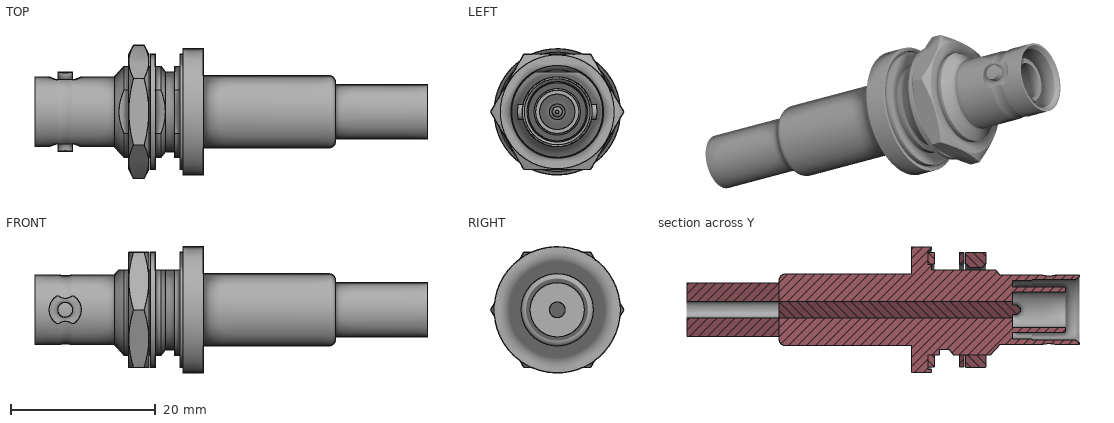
import cadquery as cq
import math


OVERALL_LENGTH = 54.3
LUG_X = 4.2
CONE_START_X = 10.95
THREAD_START_X = 12.3
RELIEF_CONE_X = 17.45
RELIEF_START_X = 18.05
RELIEF_END_X = 19.35
FLANGE_FRONT_X = 20.45
FLANGE_REAR_X = 23.3
TAIL_END_X = 41.6

NOSE_RADIUS = 4.85
THREAD_RADIUS = 6.3
RELIEF_RADIUS = 5.55
FLANGE_RADIUS = 8.75
TAIL_RADIUS = 5.0
TAIL_FILLET = 0.9
THREAD_FLAT_Z = RELIEF_RADIUS

SOCKET_RADIUS = 4.2
SOCKET_CHAMFER_RADIAL = 0.4
SOCKET_CHAMFER_LENGTH = 0.55
SOCKET_STEP_X = 6.5
SOCKET_FLOOR_RADIUS = 4.0
SOCKET_FLOOR_X = 9.25
TUBE_FRONT_X = 1.9
TUBE_RADIUS = 3.2
TUBE_BORE_RADIUS = 2.45
TUBE_CHAMFER = 0.2

GROOVE_START_X = 3.3
GROOVE_END_X = 5.1
GROOVE_DEPTH = 0.1
LUG_RADIUS = 1.05
LUG_TIP_RADIUS = 5.5
LUG_FLAT_RADIUS = 2.2
LUG_FLAT_Y = 4.45

NUT_FRONT_X = 12.9
NUT_LENGTH = 2.9
NUT_CORNERS = 18.45
NUT_FACE_RADIUS = 7.9
NUT_CHAMFER_LENGTH = 0.7
NUT_BORE_RADIUS = 5.8
NUT_COUNTERSINK_RADIUS = 6.4

WASHER_GAP = 0.15
WASHER_LENGTH = 0.7
WASHER_RADIUS = 8.0

GASKET_RADIUS = 8.0
GASKET_FRONT_X = 20.05
GASKET_RECESS_RADIUS = 8.25
GASKET_RECESS_DEPTH = 0.45
GASKET_REAR_X = FLANGE_FRONT_X + GASKET_RECESS_DEPTH

FERRULE_RADIUS = 3.75

CONTACT_RADIUS = 1.1
CONTACT_PIN_RADIUS = 0.7
CONTACT_PIN_LENGTH = 1.1
CONTACT_TIP_RADIUS = 0.2
CONTACT_TIP_LENGTH = 0.55


def revolve_about_x(profile):
    """Turn a closed (x, radius) profile about the X axis."""
    return profile.close().revolve(360, (0, 0, 0), (1, 0, 0))


def cylinder(radius, start_x, end_x):
    """Solid cylinder on the X axis between two stations."""
    return cq.Workplane("YZ", origin=(start_x, 0, 0)).circle(radius).extrude(end_x - start_x)


def ring(outer_radius, bore_radius, start_x, end_x):
    """Flat ring or tube on the X axis between two stations."""
    return cylinder(outer_radius, start_x, end_x).cut(cylinder(bore_radius, start_x, end_x))


def make_housing():
    return (
        turned_shell()
        .cut(thread_flat_cutter())
        .cut(lug_flats_cutter())
        .cut(ring(GASKET_RECESS_RADIUS, THREAD_RADIUS, FLANGE_FRONT_X, GASKET_REAR_X))
        .union(lugs())
    )


def turned_shell():
    """Outside and inside of the housing in one turning, bored through for the contact."""
    fillet_middle = TAIL_FILLET * (1 - math.sqrt(0.5))
    return revolve_about_x(
        cq.Workplane("XY")
        .moveTo(0, SOCKET_RADIUS + SOCKET_CHAMFER_RADIAL)
        .lineTo(0, NOSE_RADIUS)
        .lineTo(GROOVE_START_X, NOSE_RADIUS)
        .threePointArc(
            ((GROOVE_START_X + GROOVE_END_X) / 2, NOSE_RADIUS - GROOVE_DEPTH),
            (GROOVE_END_X, NOSE_RADIUS),
        )
        .lineTo(CONE_START_X, NOSE_RADIUS)
        .lineTo(THREAD_START_X, THREAD_RADIUS)
        .lineTo(RELIEF_CONE_X, THREAD_RADIUS)
        .lineTo(RELIEF_START_X, RELIEF_RADIUS)
        .lineTo(RELIEF_END_X, RELIEF_RADIUS)
        .lineTo(RELIEF_END_X, THREAD_RADIUS)
        .lineTo(FLANGE_FRONT_X, THREAD_RADIUS)
        .lineTo(FLANGE_FRONT_X, FLANGE_RADIUS)
        .lineTo(FLANGE_REAR_X, FLANGE_RADIUS)
        .lineTo(FLANGE_REAR_X, TAIL_RADIUS)
        .lineTo(TAIL_END_X - TAIL_FILLET, TAIL_RADIUS)
        .threePointArc(
            (TAIL_END_X - fillet_middle, TAIL_RADIUS - fillet_middle),
            (TAIL_END_X, TAIL_RADIUS - TAIL_FILLET),
        )
        .lineTo(TAIL_END_X, CONTACT_RADIUS)
        .lineTo(SOCKET_FLOOR_X, CONTACT_RADIUS)
        .lineTo(SOCKET_FLOOR_X, TUBE_BORE_RADIUS)
        .lineTo(TUBE_FRONT_X, TUBE_BORE_RADIUS)
        .lineTo(TUBE_FRONT_X, TUBE_RADIUS - TUBE_CHAMFER)
        .lineTo(TUBE_FRONT_X + TUBE_CHAMFER, TUBE_RADIUS)
        .lineTo(SOCKET_FLOOR_X, TUBE_RADIUS)
        .lineTo(SOCKET_FLOOR_X, SOCKET_FLOOR_RADIUS)
        .lineTo(SOCKET_STEP_X, SOCKET_FLOOR_RADIUS)
        .lineTo(SOCKET_STEP_X, SOCKET_RADIUS)
        .lineTo(SOCKET_CHAMFER_LENGTH, SOCKET_RADIUS)
    )


def thread_flat_cutter():
    """Block that flattens the top of the thread, from the nose cone to the flange."""
    return cq.Workplane("XY").box(
        FLANGE_FRONT_X - CONE_START_X, 2 * THREAD_RADIUS, THREAD_RADIUS, centered=(False, True, False)
    ).translate((CONE_START_X, 0, THREAD_FLAT_Z))


def lug_flats_cutter():
    """Two discs, one on each side, that mill a flat round each lug."""
    disc = (
        cq.Workplane("XZ", origin=(LUG_X, -LUG_FLAT_Y, 0))
        .circle(LUG_FLAT_RADIUS)
        .extrude(NOSE_RADIUS - LUG_FLAT_Y)
    )
    return disc.union(disc.mirror("XZ"))


def lugs():
    """Two round bayonet lugs, rooted in the nose wall, with tips rounded about the housing axis."""
    root_y = (SOCKET_RADIUS + LUG_FLAT_Y) / 2
    lug = (
        cq.Workplane("XZ", origin=(LUG_X, -root_y, 0))
        .circle(LUG_RADIUS)
        .extrude(LUG_TIP_RADIUS - root_y)
        .intersect(cylinder(LUG_TIP_RADIUS, LUG_X - LUG_RADIUS, LUG_X + LUG_RADIUS))
    )
    return lug.union(lug.mirror("XZ"))


def make_nut(housing):
    """Hex nut with corners on Y, its bore seated on the housing thread."""
    rear_x = NUT_FRONT_X + NUT_LENGTH
    corner_radius = NUT_CORNERS / 2
    hexagon = cq.Workplane("YZ", origin=(NUT_FRONT_X, 0, 0)).polygon(6, NUT_CORNERS).extrude(NUT_LENGTH)
    countersink = NUT_COUNTERSINK_RADIUS - NUT_BORE_RADIUS
    envelope = revolve_about_x(
        cq.Workplane("XY")
        .moveTo(NUT_FRONT_X, NUT_COUNTERSINK_RADIUS)
        .lineTo(NUT_FRONT_X, NUT_FACE_RADIUS)
        .lineTo(NUT_FRONT_X + NUT_CHAMFER_LENGTH, corner_radius)
        .lineTo(rear_x - NUT_CHAMFER_LENGTH, corner_radius)
        .lineTo(rear_x, NUT_FACE_RADIUS)
        .lineTo(rear_x, NUT_COUNTERSINK_RADIUS)
        .lineTo(rear_x - countersink, NUT_BORE_RADIUS)
        .lineTo(NUT_FRONT_X + countersink, NUT_BORE_RADIUS)
    )
    return hexagon.intersect(envelope).cut(housing)


def make_lock_washer():
    front_x = NUT_FRONT_X + NUT_LENGTH + WASHER_GAP
    return ring(WASHER_RADIUS, THREAD_RADIUS, front_x, front_x + WASHER_LENGTH)


def make_gasket():
    return ring(GASKET_RADIUS, THREAD_RADIUS, GASKET_FRONT_X, GASKET_REAR_X)


def make_ferrule():
    """Plain tube on the rear end, its bore in line with the contact hole."""
    return ring(FERRULE_RADIUS, CONTACT_RADIUS, TAIL_END_X, OVERALL_LENGTH)


def make_contact():
    """Stepped pin through the housing, its tapered tip standing out of the socket floor."""
    tip_x = SOCKET_FLOOR_X - CONTACT_PIN_LENGTH
    return revolve_about_x(
        cq.Workplane("XY")
        .moveTo(tip_x, 0)
        .lineTo(tip_x, CONTACT_TIP_RADIUS)
        .lineTo(tip_x + CONTACT_TIP_LENGTH, CONTACT_PIN_RADIUS)
        .lineTo(SOCKET_FLOOR_X, CONTACT_PIN_RADIUS)
        .lineTo(SOCKET_FLOOR_X, CONTACT_RADIUS)
        .lineTo(TAIL_END_X, CONTACT_RADIUS)
        .lineTo(TAIL_END_X, 0)
    )


housing = make_housing()
nut = make_nut(housing)
lock_washer = make_lock_washer()
gasket = make_gasket()
ferrule = make_ferrule()
contact = make_contact()

result = cq.Compound.makeCompound([
    housing.val(),
    nut.val(),
    lock_washer.val(),
    gasket.val(),
    ferrule.val(),
    contact.val(),
])